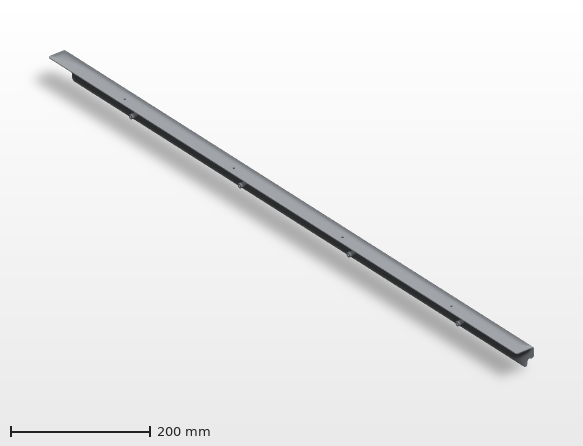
import cadquery as cq
import math

length = 1076.0
depth = 33.0
height = 43.5
thickness = 1.5
inner_bend_radius = 2.5
flange_corner_radius = 3.0

shoulder_drop = 19.5
foot_inset = 16.0
slope_angle = 28.0
shoulder_radius = 12.0
step_radius = 12.0
foot_radius = 6.0

standoff_count = 4
standoff_pitch = 250.0
standoff_height_above_foot = 10.0
standoff_diameter = 8.0
standoff_bore_diameter = 3.3
standoff_length = 10.0
flange_hole_diameter = 4.0
flange_hole_from_back = 22.0

half_length = length / 2
back_y = depth / 2
front_y = -depth / 2
top_z = height / 2
bottom_z = -height / 2
outer_bend_radius = inner_bend_radius + thickness
web_front_y = back_y - thickness
bend_start_y = back_y - outer_bend_radius
bend_end_z = top_z - outer_bend_radius
shoulder_z = top_z - shoulder_drop
step_z = shoulder_z - foot_inset * math.tan(math.radians(slope_angle))
foot_x = half_length - foot_inset
standoff_xs = [(i - (standoff_count - 1) / 2) * standoff_pitch for i in range(standoff_count)]


def make_angle():
    """Bent sheet: a vertical web at the back and a flange running forward from its top."""
    return (
        cq.Workplane("YZ")
        .moveTo(back_y, bottom_z)
        .lineTo(back_y, bend_end_z)
        .radiusArc((bend_start_y, top_z), -outer_bend_radius)
        .lineTo(front_y, top_z)
        .lineTo(front_y, top_z - thickness)
        .lineTo(bend_start_y, top_z - thickness)
        .radiusArc((web_front_y, bend_end_z), inner_bend_radius)
        .lineTo(web_front_y, bottom_z)
        .close()
        .extrude(half_length, both=True)
    )


def make_end_cutter():
    """Material removed below the sloped edge at the +X end of the web."""
    return (
        cq.Workplane("XZ")
        .moveTo(half_length, shoulder_z)
        .lineTo(foot_x, step_z)
        .lineTo(foot_x, bottom_z)
        .lineTo(half_length, bottom_z)
        .close()
        .extrude(depth, both=True)
    )


def round_web_corners(plate, x, z, radius):
    """Round the web corner at (x, z) and its mirror image at the other end."""
    web_middle_y = back_y - thickness / 2
    for side in (-1, 1):
        corner = cq.selectors.NearestToPointSelector((side * x, web_middle_y, z))
        plate = plate.edges(corner).fillet(radius)
    return plate


def make_flange_holes():
    return (
        cq.Workplane("XY", origin=(0, back_y - flange_hole_from_back, top_z - thickness))
        .pushPoints([(x, 0) for x in standoff_xs])
        .circle(flange_hole_diameter / 2)
        .extrude(thickness)
    )


def make_bracket():
    end_cutter = make_end_cutter()
    plate = make_angle().cut(end_cutter).cut(end_cutter.mirror("YZ"))
    plate = round_web_corners(plate, half_length, shoulder_z, shoulder_radius)
    plate = round_web_corners(plate, foot_x, step_z, step_radius)
    plate = round_web_corners(plate, foot_x, bottom_z, foot_radius)
    plate = plate.edges("|Z").edges("<Y").fillet(flange_corner_radius)
    return plate.cut(make_flange_holes())


def make_standoff(x):
    """Round tube standing on the front face of the web."""
    return (
        cq.Workplane("XZ", origin=(x, web_front_y, bottom_z + standoff_height_above_foot))
        .circle(standoff_diameter / 2)
        .circle(standoff_bore_diameter / 2)
        .extrude(standoff_length)
    )


bracket = make_bracket()
standoffs = [make_standoff(x) for x in standoff_xs]
result = cq.Compound.makeCompound([bracket.val(), *[standoff.val() for standoff in standoffs]])